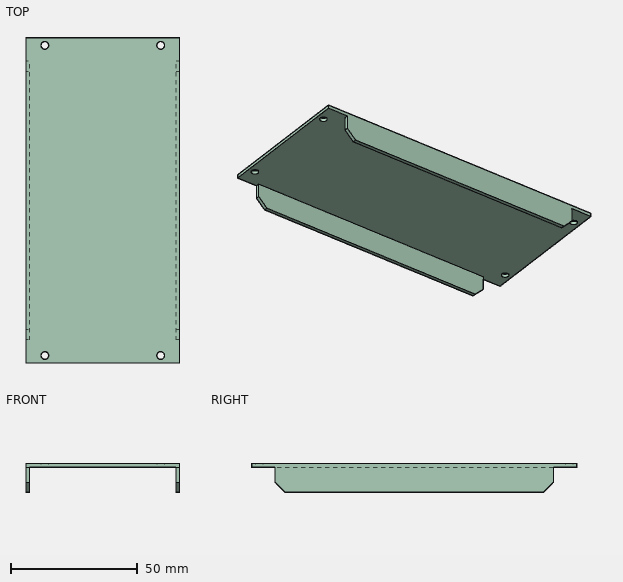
import cadquery as cq

plate_width = 60.8
plate_length = 128.5
plate_thickness = 1.5

overall_height = 11.5
flange_thickness = 1.5
flange_length = 110.0
flange_height = overall_height - plate_thickness
flange_corner_chamfer = 4.0

hole_diameter = 3.0
hole_spacing_x = 45.7
hole_spacing_y = 122.5


def make_plate():
    """Flat rectangular plate with four through holes."""
    plate = cq.Workplane("XY").box(
        plate_width, plate_length, plate_thickness, centered=(True, True, False)
    )
    plate = plate.translate((0, 0, -plate_thickness))
    return (
        plate.faces(">Z")
        .workplane(origin=(0, 0, 0))
        .rect(hole_spacing_x, hole_spacing_y, forConstruction=True)
        .vertices()
        .hole(hole_diameter)
    )


def make_flange(side):
    """Upright flange with both lower corners chamfered; side is -1 or +1 along X."""
    flange = cq.Workplane("XY").box(
        flange_thickness, flange_length, flange_height, centered=(True, True, False)
    )
    flange = flange.faces("<Z").edges("|X").chamfer(flange_corner_chamfer)
    center_x = side * (plate_width - flange_thickness) / 2
    return flange.translate((center_x, 0, -overall_height))


result = make_plate()
for side in (-1, 1):
    result = result.union(make_flange(side))